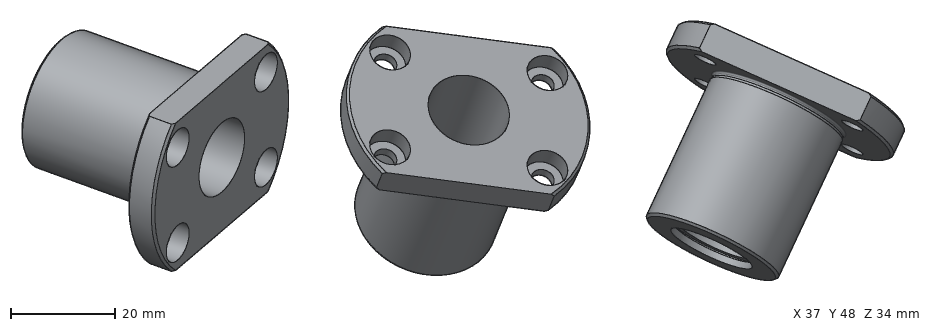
import cadquery as cq
import math

total_length = 37.0
flange_thickness = 6.0
flange_face_x = total_length - flange_thickness

flange_diameter = 48.0
flange_width = 34.0
edge_chamfer = 0.5

barrel_radius = 28.0 / 2
bore_diameter = 16.0
mouth_diameter = 17.2
mouth_depth = 1.4
groove_diameter = 19.2
groove_width = 0.5

relief_width = 1.25
relief_depth = 0.2
relief_ramp_length = 0.5
relief_fillet = 0.4

hole_diameter = 4.5
screw_head_diameter = 8.0
screw_head_depth = 4.0
hole_circle_radius = 38.0 / 2
hole_spacing_z = 22.0


def make_barrel():
    """Revolve the barrel, with its end chamfer and the relief groove at the flange."""
    relief_start_x = flange_face_x - relief_width
    relief_radius = barrel_radius - relief_depth
    fillet_start_x = flange_face_x - relief_fillet
    fillet_end_radius = relief_radius + relief_fillet
    fillet_middle = relief_fillet * math.sqrt(0.5)
    profile = (
        cq.Workplane("XY")
        .lineTo(0, barrel_radius - edge_chamfer)
        .lineTo(edge_chamfer, barrel_radius)
        .lineTo(relief_start_x, barrel_radius)
        .lineTo(relief_start_x + relief_ramp_length, relief_radius)
        .lineTo(fillet_start_x, relief_radius)
        .threePointArc(
            (fillet_start_x + fillet_middle, fillet_end_radius - fillet_middle),
            (flange_face_x, fillet_end_radius),
        )
        .lineTo(total_length, fillet_end_radius)
        .lineTo(total_length, 0)
        .close()
    )
    return profile.revolve(360, (0, 0, 0), (1, 0, 0))


def make_flange():
    """Round flange with chamfered rims, cut to two flats facing +Z and -Z."""
    disc = (
        cq.Workplane("YZ", origin=(flange_face_x, 0, 0))
        .circle(flange_diameter / 2)
        .extrude(flange_thickness)
        .edges("%CIRCLE")
        .chamfer(edge_chamfer)
    )
    flats = (
        cq.Workplane("YZ", origin=(flange_face_x, 0, 0))
        .rect(flange_diameter, flange_width)
        .extrude(flange_thickness)
    )
    return disc.intersect(flats)


def make_bore():
    """Through bore with a wider mouth at the barrel end and a ring groove behind it."""
    bore = cq.Workplane("YZ").circle(bore_diameter / 2).extrude(total_length)
    mouth = cq.Workplane("YZ").circle(mouth_diameter / 2).extrude(mouth_depth)
    groove = (
        cq.Workplane("YZ", origin=(mouth_depth, 0, 0))
        .circle(groove_diameter / 2)
        .extrude(groove_width)
    )
    return bore.union(mouth).union(groove)


def make_mounting_holes():
    """Four counterbored through holes, in a rectangle inscribed in the hole circle."""
    hole_z = hole_spacing_z / 2
    hole_y = math.sqrt(hole_circle_radius**2 - hole_z**2)

    def cylinders(start_x, diameter):
        return (
            cq.Workplane("YZ", origin=(start_x, 0, 0))
            .rect(2 * hole_y, 2 * hole_z, forConstruction=True)
            .vertices()
            .circle(diameter / 2)
            .extrude(total_length - start_x)
        )

    through_holes = cylinders(flange_face_x, hole_diameter)
    screw_heads = cylinders(total_length - screw_head_depth, screw_head_diameter)
    return through_holes.union(screw_heads)


result = make_barrel().union(make_flange()).cut(make_bore()).cut(make_mounting_holes())